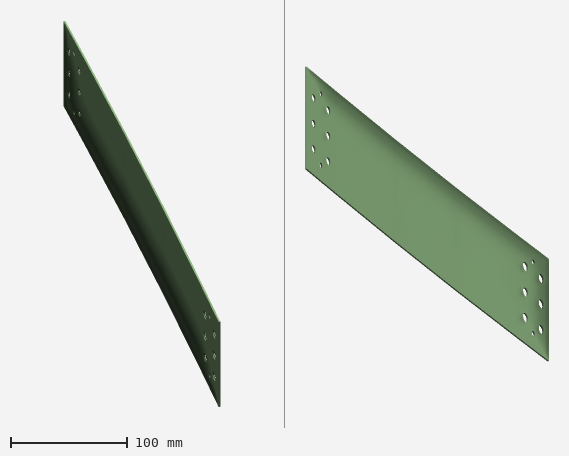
import cadquery as cq

length = 400.0
height = 100.0
thickness = 1.52
rise = 2.32

tab_length = 50.0
half_length = length / 2
half_arc = half_length - tab_length
tab_slope = rise / (tab_length + half_arc / 2)
tab_rise = tab_slope * tab_length
end_inset = tab_slope * thickness

tab_center = half_length - tab_length / 2
hole_pitch = tab_length / 2
pin_hole_spacing = 70.0
left_hole_diameter = 7.0
right_hole_diameter = 8.0
pin_hole_diameter = 5.0


def bowed_plate():
    """Tab, shallow arc, tab: one profile in XY extruded along Z."""
    return (
        cq.Workplane("XY")
        .workplane(offset=-height / 2)
        .moveTo(-half_length + end_inset, 0)
        .lineTo(-half_arc, tab_rise)
        .threePointArc((0, rise), (half_arc, tab_rise))
        .lineTo(half_length - end_inset, 0)
        .lineTo(half_length, thickness)
        .lineTo(half_arc, tab_rise + thickness)
        .threePointArc((0, rise + thickness), (-half_arc, tab_rise + thickness))
        .lineTo(-half_length, thickness)
        .close()
        .extrude(height)
    )


def drill(plate, center_x, spacing, counts, diameter):
    """Cut a grid of round through holes along Y, centred on Z = 0."""
    cutters = (
        cq.Workplane("XZ")
        .center(center_x, 0)
        .rarray(*spacing, *counts)
        .circle(diameter / 2)
        .extrude(-(rise + thickness))
    )
    return plate.cut(cutters)


result = bowed_plate()
for center_x, hole_diameter in (
    (-tab_center, left_hole_diameter),
    (tab_center, right_hole_diameter),
):
    result = drill(result, center_x, (hole_pitch, hole_pitch), (2, 3), hole_diameter)
    result = drill(result, center_x, (hole_pitch, pin_hole_spacing), (1, 2), pin_hole_diameter)